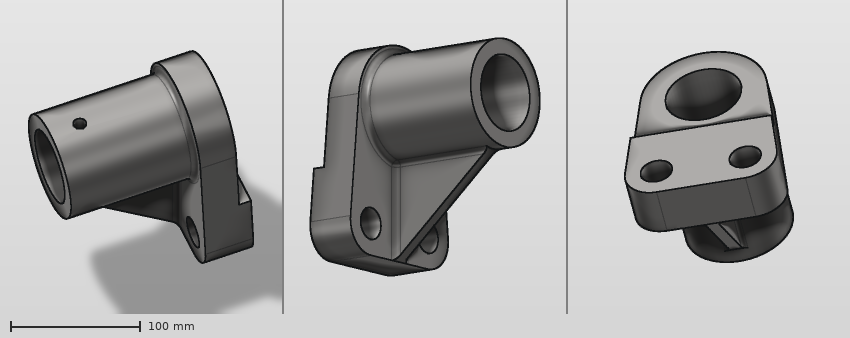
import cadquery as cq
import math

tube_diameter = 85.0
bore_diameter = 60.0
tube_length = 105.0
oil_hole_diameter = 10.0
oil_hole_from_end = 25.0

head_radius = 50.0
plate_thickness = 30.0
corner_radius = 25.0
bolt_hole_diameter = 25.0
bolt_half_spacing = 35.0
bolt_drop = 95.0

pad_thickness = 10.0
pad_top_drop = 50.0

rib_width = 10.0
rib_angle = 40.0
fillet_radius = 5.0

tolerance = 0.01

tube_radius = tube_diameter / 2
plate_bottom = -(bolt_drop + corner_radius)
plate_half_width = bolt_half_spacing + corner_radius
pad_back = plate_thickness + pad_thickness


def plate_outline():
    """Outline in XZ: head arc, tangent flanks and rounded lower corners."""
    center_distance = math.hypot(bolt_half_spacing, bolt_drop)
    center_direction = math.atan2(-bolt_drop, bolt_half_spacing)
    normal = center_direction + math.acos((head_radius - corner_radius) / center_distance)

    def on_head(angle):
        return head_radius * math.cos(angle), head_radius * math.sin(angle)

    def on_corner(angle):
        x = bolt_half_spacing + corner_radius * math.cos(angle)
        return x, -bolt_drop + corner_radius * math.sin(angle)

    def mirrored(point):
        return -point[0], point[1]

    corner_middle = on_corner((normal - math.pi / 2) / 2)
    return (
        cq.Workplane("XZ")
        .moveTo(*on_head(normal))
        .threePointArc((0, head_radius), mirrored(on_head(normal)))
        .lineTo(*mirrored(on_corner(normal)))
        .threePointArc(mirrored(corner_middle), (-bolt_half_spacing, plate_bottom))
        .lineTo(bolt_half_spacing, plate_bottom)
        .threePointArc(corner_middle, on_corner(normal))
        .close()
    )


def plate():
    """Plate with its foot pad: full depth below the step, thinner above it."""
    body = plate_outline().extrude(-pad_back)
    step_height = pad_top_drop + head_radius
    step = (
        cq.Workplane("XY")
        .box(2 * plate_half_width, pad_thickness, step_height, centered=(True, False, False))
        .translate((0, plate_thickness, -pad_top_drop))
    )
    return body.cut(step)


def tube():
    return cq.Workplane("XZ").circle(tube_radius).extrude(tube_length)


def rib_block():
    """Rib before its lower edge is sloped, running the full tube length."""
    return (
        cq.Workplane("XY")
        .box(rib_width, tube_length, -plate_bottom, centered=(True, False, False))
        .translate((0, -tube_length, plate_bottom))
    )


def slope_waste():
    """Everything below the sloped rib edge, sparing the tube itself."""
    slope_rise = tube_length * math.tan(math.radians(rib_angle))
    wedge = (
        cq.Workplane("YZ")
        .moveTo(0, plate_bottom)
        .lineTo(-tube_length, plate_bottom + slope_rise)
        .lineTo(-tube_length, plate_bottom)
        .close()
        .extrude(plate_half_width, both=True)
    )
    return wedge.cut(tube())


def root_edges(body):
    """Edges where the tube and rib meet the plate and each other."""
    rib_half = rib_width / 2
    rib_top = -math.sqrt(tube_radius ** 2 - rib_half ** 2)
    roots = []
    for edge in body.edges().vals():
        box = edge.BoundingBox()
        on_plate_front = abs(box.ymin) < tolerance and abs(box.ymax) < tolerance
        on_tube_root = on_plate_front and edge.geomType() == "CIRCLE" and (
            abs(edge.radius() - tube_radius) < tolerance
        )
        on_rib_side = abs(abs(box.xmin) - rib_half) < tolerance and box.xlen < tolerance
        on_rib_root = on_plate_front and on_rib_side
        on_rib_top = on_rib_side and abs(box.zmin - rib_top) < tolerance and box.zlen < tolerance
        if on_tube_root or on_rib_root or on_rib_top:
            roots.append(edge)
    return roots


def bolt_holes():
    return (
        cq.Workplane("XZ")
        .pushPoints([(-bolt_half_spacing, -bolt_drop), (bolt_half_spacing, -bolt_drop)])
        .circle(bolt_hole_diameter / 2)
        .extrude(-pad_back)
    )


def bore():
    return (
        cq.Workplane("XZ", origin=(0, pad_back, 0))
        .circle(bore_diameter / 2)
        .extrude(pad_back + tube_length)
    )


def oil_hole():
    """Radial hole through the upper tube wall into the bore."""
    return (
        cq.Workplane("XY")
        .center(0, oil_hole_from_end - tube_length)
        .circle(oil_hole_diameter / 2)
        .extrude(tube_radius)
    )


body = plate().union(tube()).union(rib_block())
body = body.newObject(root_edges(body)).fillet(fillet_radius)
body = body.cut(slope_waste())
body = body.cut(bore()).cut(bolt_holes()).cut(oil_hole())
result = cq.Workplane(body.solids().val())